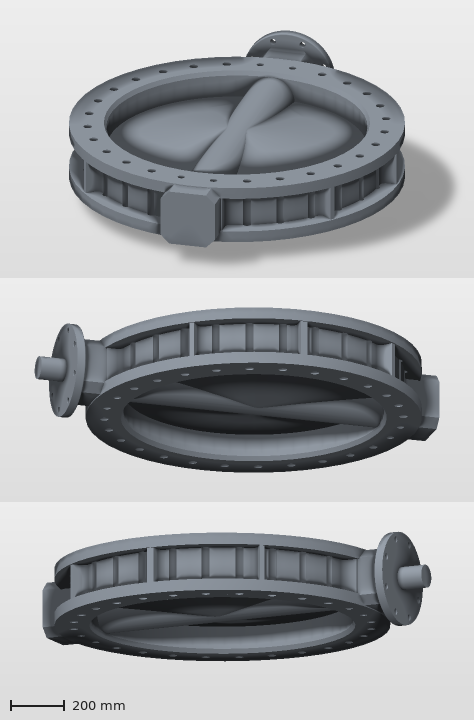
import cadquery as cq
import math


body_height = 218.0
flange_radius = 628.0
flange_thickness = 43.0
ring_radius = 565.0
seat_radius = 540.0

bolt_count = 28
bolt_circle_radius = 558.0
bolt_hole_diameter = 32.0
tapped_hole_diameter = 28.0
tapped_hole_depth = 62.0
drill_point_angle = 118.0

rib_end_radius = 621.0
axis_rib_width = 26.0
side_rib_width = 18.0
side_rib_angle = 39.5
root_fillet = 20.0

boss_width = 210.0
boss_chamfer = 34.0
boss_bottom_y = -694.0
boss_top_y = 712.0
neck_width = 221.0
neck_end_y = 609.0

bore_radius = 488.0
liner_chamfer_width = 9.0
liner_chamfer_height = 17.0

hub_radius = 92.0
disc_rim_height = 15.0
disc_centre_height = 180.0

plate_radius = 175.0
plate_thickness = 34.0
plate_hole_count = 8
plate_hole_circle_radius = 149.0
plate_hole_diameter = 23.0
plate_rim_fillet = 5.0
plate_root_fillet = 9.0

shaft_radius = 43.0
shaft_top_y = 845.0
shaft_bottom_y = -630.0

gap_height = body_height - 2 * flange_thickness
bolt_angles = [(index + 0.5) * 360 / bolt_count for index in range(bolt_count)]


def cylinder_along_y(radius, start_y, end_y):
    """Solid cylinder on the stem axis."""
    return cq.Workplane("XZ", origin=(0, start_y, 0)).circle(radius).extrude(start_y - end_y)


def disk(radius, height):
    """Solid cylinder on the flow axis, centred on the origin."""
    return cq.Workplane("XY", origin=(0, 0, -height / 2)).circle(radius).extrude(height)


def on_bolt_circle(angle):
    """Point on the flange bolt circle at an angle in degrees from +X."""
    turn = math.radians(angle)
    return (bolt_circle_radius * math.cos(turn), bolt_circle_radius * math.sin(turn))


def is_beside_stem(point):
    """True for the bolt positions that fall on the stem necks."""
    return abs(point[0]) < neck_width / 2


def make_rib(width, angle):
    """Radial rib from the flow axis outward, at an angle in degrees from +X."""
    rib = cq.Workplane("XY").box(rib_end_radius, width, gap_height)
    return rib.translate((rib_end_radius / 2, 0, 0)).rotate((0, 0, 0), (0, 0, 1), angle)


def make_web():
    """Ring wall with ribs and stem necks, filleted where they leave the wall."""
    web = disk(ring_radius, gap_height)
    for side in (0, 180):
        web = web.union(make_rib(axis_rib_width, side))
        web = web.union(make_rib(side_rib_width, side - side_rib_angle))
        web = web.union(make_rib(side_rib_width, side + side_rib_angle))
    web = web.union(cq.Workplane("XY").box(neck_width, 2 * neck_end_y, gap_height))

    root_corners = web.edges("|Z").filter(
        lambda edge: abs(math.hypot(edge.Center().x, edge.Center().y) - ring_radius) < 0.2
    )
    return root_corners.fillet(root_fillet)


def make_plate():
    """Round actuator plate on the upper boss."""
    plate_top_y = boss_top_y + plate_thickness
    plate = cylinder_along_y(plate_radius, boss_top_y, plate_top_y)
    plate = plate.faces("<Y").edges().fillet(plate_rim_fillet)
    holes = (
        cq.Workplane("XZ", origin=(0, boss_top_y, 0))
        .polarArray(plate_hole_circle_radius, 180 / plate_hole_count, 360, plate_hole_count)
        .circle(plate_hole_diameter / 2)
        .extrude(-plate_thickness)
    )
    return plate.cut(holes)


def plate_root_zone():
    """Box round the edges where the square bar meets the plate."""
    reach = boss_width / 2 + 2.0
    return cq.selectors.BoxSelector(
        (-reach, boss_top_y - 2.0, -reach), (reach, boss_top_y + 2.0, reach)
    )


def make_stem_bar():
    """Octagonal bar along the stem axis, its four flat sides filleted into the actuator plate."""
    bar = cq.Workplane("XY").box(boss_width, boss_top_y - boss_bottom_y, boss_width)
    bar = bar.translate((0, (boss_top_y + boss_bottom_y) / 2, 0))
    bar = bar.union(make_plate())
    bar = bar.edges(plate_root_zone()).fillet(plate_root_fillet)

    outer = boss_width / 2 + plate_root_fillet
    inner = boss_width / 2 - boss_chamfer - plate_root_fillet
    corner = (
        cq.Workplane("XZ", origin=(0, boss_bottom_y, 0))
        .polyline([(outer, inner), (outer, outer), (inner, outer)])
        .close()
        .extrude(boss_bottom_y - boss_top_y)
    )
    for quarter in range(4):
        bar = bar.cut(corner.rotate((0, 0, 0), (0, 1, 0), 90 * quarter))
    return bar


def make_tapped_hole():
    """Blind hole cutter with a conical drill point, opening upward at the upper flange face."""
    radius = tapped_hole_diameter / 2
    point_depth = radius / math.tan(math.radians(drill_point_angle / 2))
    top = body_height / 2
    shoulder = top - tapped_hole_depth
    profile = [(0, top), (radius, top), (radius, shoulder), (0, shoulder - point_depth)]
    return cq.Workplane("XZ").polyline(profile).close().revolve(360, (0, 0, 0), (0, 1, 0))


def make_housing():
    """Flanged ring with ribs, stem bosses, actuator plate and bolt holes."""
    housing = make_web()
    for flange_z in (-body_height / 2, gap_height / 2):
        flange = cq.Workplane("XY").circle(flange_radius).extrude(flange_thickness)
        housing = housing.union(flange.translate((0, 0, flange_z)))
    housing = housing.union(make_stem_bar())
    housing = housing.cut(disk(seat_radius, body_height))

    bolt_points = [on_bolt_circle(angle) for angle in bolt_angles]
    through_points = [point for point in bolt_points if not is_beside_stem(point)]
    through_holes = (
        cq.Workplane("XY", origin=(0, 0, -body_height / 2))
        .pushPoints(through_points)
        .circle(bolt_hole_diameter / 2)
        .extrude(body_height)
    )
    housing = housing.cut(through_holes)

    upper_tapped_hole = make_tapped_hole()
    lower_tapped_hole = upper_tapped_hole.mirror("XY")
    for x, y in filter(is_beside_stem, bolt_points):
        housing = housing.cut(upper_tapped_hole.translate((x, y, 0)))
        housing = housing.cut(lower_tapped_hole.translate((x, y, 0)))
    return housing.cut(make_shaft())


def make_liner():
    """Seat ring with a conical lead-in at each end of its bore."""
    top = body_height / 2
    land = top - liner_chamfer_height
    mouth_radius = bore_radius + liner_chamfer_width
    profile = [
        (seat_radius, -top),
        (seat_radius, top),
        (mouth_radius, top),
        (bore_radius, land),
        (bore_radius, -land),
        (mouth_radius, -top),
    ]
    liner = cq.Workplane("XZ").polyline(profile).close().revolve(360, (0, 0, 0), (0, 1, 0))
    return liner.cut(make_shaft())


def make_disc():
    """Double cone with a cylindrical hub along the stem axis, trimmed to the bore."""
    rim = disc_rim_height / 2
    centre = disc_centre_height / 2
    profile = [(0, -centre), (bore_radius, -rim), (bore_radius, rim), (0, centre)]
    cones = cq.Workplane("XZ").polyline(profile).close().revolve(360, (0, 0, 0), (0, 1, 0))
    hub = cylinder_along_y(hub_radius, -bore_radius, bore_radius)
    hub = hub.intersect(disk(bore_radius, body_height))
    disc = cones.union(hub)
    return disc.cut(make_shaft())


def make_shaft():
    """Shaft through the plate, the housing and the disc, ending blind in the lower boss."""
    return cylinder_along_y(shaft_radius, shaft_bottom_y, shaft_top_y)


housing = make_housing()
liner = make_liner()
disc = make_disc()
shaft = make_shaft()

result = cq.Compound.makeCompound([housing.val(), liner.val(), disc.val(), shaft.val()])